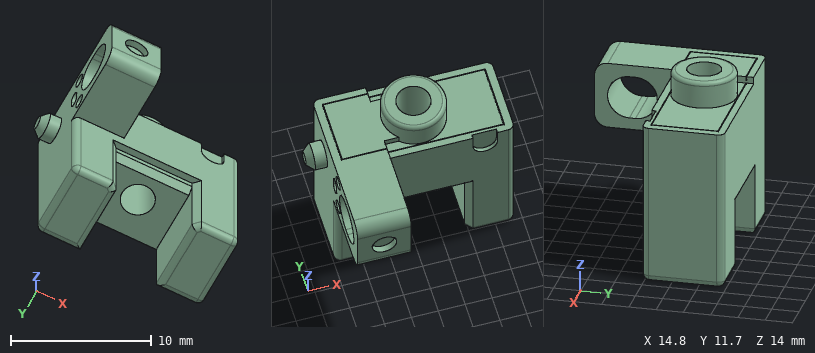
import cadquery as cq


body_length = 13.35
body_width = 6.0
body_height = 12.0
edge_radius = 0.5
left_x = -body_length / 2
front_y = -body_width / 2
back_y = body_width / 2

opening_width = 6.14
opening_right_x = opening_width / 2
opening_left_x = -opening_right_x
opening_height = 5.5
opening_bevel = 0.5
opening_notch_height = opening_height + 2 * opening_bevel

arm_length_x = 4.0
arm_end_y = -8.7
arm_height = 5.0
arm_corner_radius = 1.0
pad_top = 12.5
arm_bottom = pad_top - arm_height
arm_mid_z = pad_top - arm_height / 2
arm_right_x = left_x + arm_length_x
tongue_width = 3.5

boss_top = 14.0
boss_diameter = 4.74
boss_edge_radius = 0.3
bore_diameter = 2.5

pin_diameter = 2.0
pin_tip_diameter = 1.0
pin_length = 1.45
pin_cone_length = 0.55
pin_root = 0.5

window_y = -5.9
window_length = 3.65
window_height = 3.2
contact_depth = 2.0
round_contact_diameter = 1.0
round_contact_y = -3.7
round_contact_spacing = 3.0
oval_contact_y = -2.9
oval_contact_height = 1.35
oval_contact_width = 0.8

recess_diameter = 1.8
arm_recess_depth = 0.5
notch_x = 4.47
notch_bottom = 10.0
notch_depth = 0.3

lid_length = 12.1
lid_width = 4.95
groove_width = 0.05
groove_depth = 0.3


def block(x_range, y_range, z_range):
    """Axis-aligned block between (low, high) limits."""
    size_x = x_range[1] - x_range[0]
    size_y = y_range[1] - y_range[0]
    size_z = z_range[1] - z_range[0]
    corner = (x_range[0], y_range[0], z_range[0])
    return cq.Workplane("XY").box(size_x, size_y, size_z, centered=False).translate(corner)


def make_opening():
    """Passage along Y: bevelled jambs, and a stepped, bevelled front edge overhead."""
    bevel_end_y = front_y + opening_bevel
    passage = (
        cq.Workplane("XY")
        .moveTo(opening_left_x - opening_bevel, front_y)
        .lineTo(opening_left_x, bevel_end_y)
        .lineTo(opening_left_x, back_y)
        .lineTo(opening_right_x, back_y)
        .lineTo(opening_right_x, bevel_end_y)
        .lineTo(opening_right_x + opening_bevel, front_y)
        .close()
        .extrude(opening_notch_height)
    )
    lintel = (
        cq.Workplane("YZ", origin=(opening_left_x, 0, 0))
        .moveTo(bevel_end_y, opening_notch_height)
        .lineTo(bevel_end_y, opening_height + opening_bevel)
        .lineTo(bevel_end_y + opening_bevel, opening_height)
        .lineTo(back_y, opening_height)
        .lineTo(back_y, opening_notch_height)
        .close()
        .extrude(opening_width)
    )
    return passage.cut(lintel)


def make_body():
    body = cq.Workplane("XY").box(body_length, body_width, body_height, centered=(True, True, False))
    body = body.edges("|Z").fillet(edge_radius)
    return body.cut(make_opening()).faces("<Z").edges().fillet(edge_radius)


def make_arm():
    """Arm reaching forward, with rounded upper and lower front corners."""
    arm = block((left_x, arm_right_x), (arm_end_y, 0), (arm_bottom, pad_top))
    return arm.edges("|X and <Y").fillet(arm_corner_radius)


def make_pad():
    """Raised left end of the body and the tongue that ties it to the boss."""
    pad = block((left_x, arm_right_x), (front_y, back_y), (arm_bottom, pad_top))
    pad = pad.edges("|Z and <X and >Y").fillet(edge_radius)
    tongue = block((arm_right_x, 0), (-tongue_width / 2, tongue_width / 2), (arm_bottom, pad_top))
    return pad.union(tongue)


def make_boss():
    boss = cq.Workplane("XY", origin=(0, 0, opening_notch_height)).circle(boss_diameter / 2)
    boss = boss.extrude(boss_top - opening_notch_height)
    return boss.faces(">Z").edges().fillet(boss_edge_radius)


def make_pin():
    """Cylindrical pin pointing toward -X, with a blunt conical tip."""
    tip_x = left_x - pin_length
    return (
        cq.Workplane("XY")
        .moveTo(left_x + pin_root, 0)
        .lineTo(left_x + pin_root, pin_diameter / 2)
        .lineTo(tip_x + pin_cone_length, pin_diameter / 2)
        .lineTo(tip_x, pin_tip_diameter / 2)
        .lineTo(tip_x, 0)
        .close()
        .revolve(360, (0, 0, 0), (1, 0, 0))
        .translate((0, 0, arm_mid_z))
    )


def left_face_sketch(y):
    """Workplane on the left face at arm mid-height: local X is Y, local Y is Z, normal is +X."""
    return cq.Workplane("YZ", origin=(left_x, y, arm_mid_z))


def make_arm_openings():
    """Through window and the blind contact holes beside it."""
    window = left_face_sketch(window_y).slot2D(window_length, window_height).extrude(arm_length_x)
    half_spacing = round_contact_spacing / 2
    round_contacts = (
        left_face_sketch(round_contact_y)
        .pushPoints([(0, -half_spacing), (0, half_spacing)])
        .circle(round_contact_diameter / 2)
        .extrude(contact_depth)
    )
    oval_contact = (
        left_face_sketch(oval_contact_y)
        .slot2D(oval_contact_height, oval_contact_width, 90)
        .extrude(contact_depth)
    )
    return window.union(round_contacts).union(oval_contact)


def make_arm_recess():
    arm_mid_x = left_x + arm_length_x / 2
    recess = cq.Workplane("XZ", origin=(arm_mid_x, arm_end_y, arm_mid_z)).circle(recess_diameter / 2)
    return recess.extrude(-arm_recess_depth)


def make_notch():
    """Round-bottomed notch in the front face, open at the top."""
    radius = recess_diameter / 2
    return (
        cq.Workplane("XZ", origin=(notch_x, front_y, 0))
        .moveTo(-radius, body_height)
        .lineTo(-radius, notch_bottom + radius)
        .threePointArc((0, notch_bottom), (radius, notch_bottom + radius))
        .lineTo(radius, body_height)
        .close()
        .extrude(-notch_depth)
    )


def make_lid_groove():
    """Narrow rectangular groove, equally deep below the pad and below the lower top face."""

    def ring(bottom):
        base = cq.Workplane("XY", origin=(0, 0, bottom))
        outer = base.rect(lid_length, lid_width).extrude(pad_top - bottom)
        inner_length = lid_length - 2 * groove_width
        inner_width = lid_width - 2 * groove_width
        return outer.cut(base.rect(inner_length, inner_width).extrude(pad_top - bottom))

    under_pad = block((left_x, arm_right_x), (front_y, back_y), (0, pad_top - groove_depth))
    return ring(body_height - groove_depth).cut(under_pad)


result = make_body().union(make_arm()).union(make_pad()).union(make_boss()).union(make_pin())
bore = cq.Workplane("XY").circle(bore_diameter / 2).extrude(boss_top)
for cutter in (bore, make_arm_openings(), make_arm_recess(), make_notch(), make_lid_groove()):
    result = result.cut(cutter)